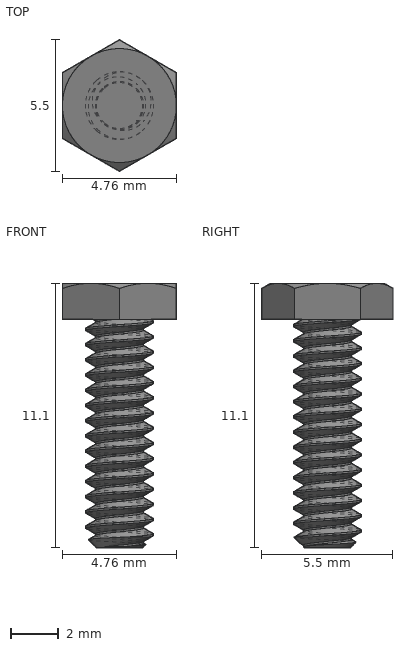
import cadquery as cq
import math

total_length = 11.05
head_height = 1.5
across_flats = 4.76
head_chamfer_angle = math.radians(30)

major_diameter = 2.84
pitch = 0.635
tip_diameter = 1.92
crest_height = -0.09

shank_length = total_length - head_height
across_corners = across_flats / math.cos(math.radians(30))
major_radius = major_diameter / 2

flank_slope = math.tan(math.radians(30))
flat_width = pitch / 8
thread_depth = (pitch - 2 * flat_width) / 2 / flank_slope
minor_radius = major_radius - thread_depth
groove_overshoot = 0.03


def make_head():
    hexagon = (
        cq.Workplane("XY", origin=(0, 0, shank_length))
        .polygon(6, across_corners)
        .extrude(head_height)
        .rotate((0, 0, 0), (0, 0, 1), 90)
    )
    top_radius = across_flats / 2
    base_radius = top_radius + head_height / math.tan(head_chamfer_angle)
    chamfer_cone = (
        cq.Workplane("XZ")
        .moveTo(0, shank_length)
        .lineTo(base_radius, shank_length)
        .lineTo(top_radius, total_length)
        .lineTo(0, total_length)
        .close()
        .revolve(360, (0, 0, 0), (0, 1, 0))
    )
    return hexagon.intersect(chamfer_cone)


def make_groove_turn():
    start_height = crest_height + pitch / 2
    outer_radius = major_radius + groove_overshoot
    root_half = flat_width / 2
    mouth_half = root_half + (outer_radius - minor_radius) * flank_slope
    corners = [
        (minor_radius, root_half),
        (outer_radius, mouth_half),
        (outer_radius, -mouth_half),
        (minor_radius, -root_half),
    ]

    helices = [
        cq.Wire.makeHelix(pitch, pitch, radius, center=cq.Vector(0, 0, start_height + offset))
        for radius, offset in corners
    ]
    faces = []
    for index, helix in enumerate(helices):
        faces += cq.Face.makeRuledSurface(helices[index - 1], helix).Faces()
    for end in (0, 1):
        end_corners = [helix.positionAt(end) for helix in helices]
        faces.append(cq.Face.makeFromWires(cq.Wire.makePolygon(end_corners, close=True)))
    return cq.Solid.makeSolid(cq.Shell.makeShell(faces)).fix()


def make_shank():
    tip_chamfer = (major_diameter - tip_diameter) / 2
    blank = cq.Workplane("XY").circle(major_radius).extrude(shank_length).faces("<Z").chamfer(tip_chamfer)

    groove_turn = make_groove_turn()
    last_turn = math.ceil(shank_length / pitch)
    turns = [groove_turn.translate(cq.Vector(0, 0, turn * pitch)) for turn in range(-1, last_turn + 1)]
    return cq.Workplane(obj=blank.val().cut(*turns))


result = make_head().union(make_shank())